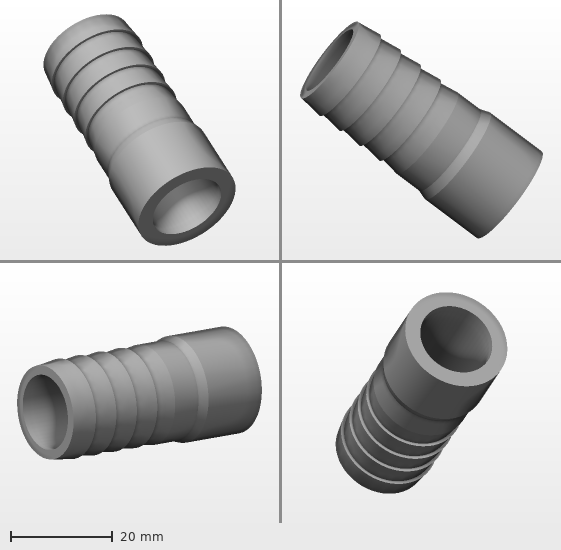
import cadquery as cq

length = 45.0
pipe_radius = 21.3 / 2
bore_radius = 15.0 / 2
crest_radius = 20.0 / 2
root_radius = 18.7 / 2
barb_pitch = 5.0
full_barbs = 4
last_barb_end = 24.35
neck_end = 30.0
shoulder_end = 32.0


def barb_points():
    """Sawtooth outline: each barb widens along X, then steps back to its root."""
    points = []
    for index in range(full_barbs):
        start = index * barb_pitch
        points.append((start, root_radius))
        points.append((start + barb_pitch, crest_radius))
    points.append((full_barbs * barb_pitch, root_radius))
    points.append((last_barb_end, crest_radius))
    return points


half_section = (
    [(0, bore_radius)]
    + barb_points()
    + [
        (neck_end, crest_radius),
        (shoulder_end, pipe_radius),
        (length, pipe_radius),
        (length, bore_radius),
    ]
)

result = cq.Workplane("XZ").polyline(half_section).close().revolve(360, (0, 0, 0), (1, 0, 0))